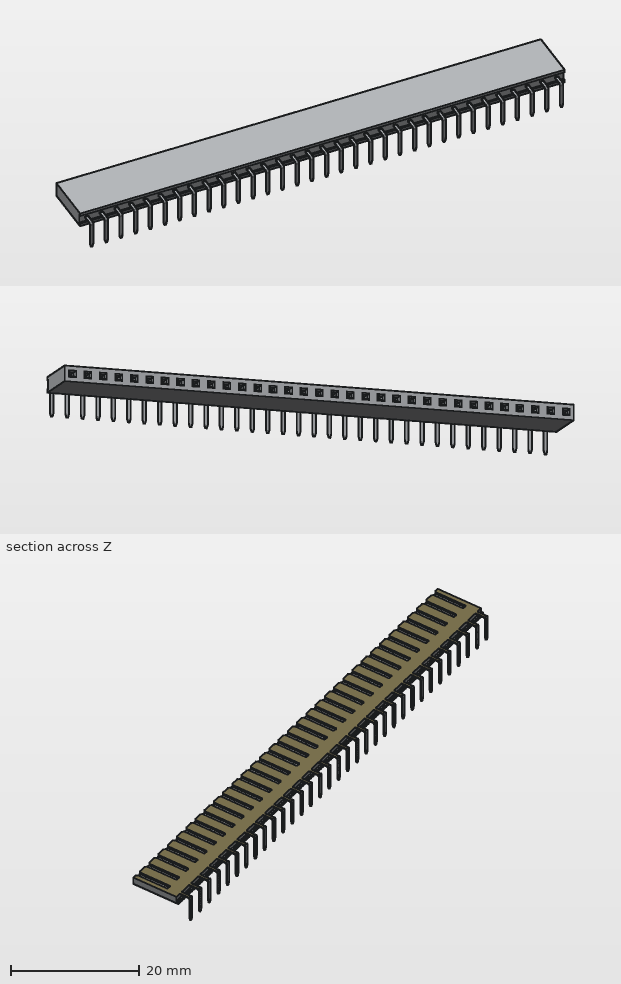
import cadquery as cq


pin_count = 33
bar_length = 83.8
pitch = bar_length / pin_count
bar_depth = 8.55
bar_height = 2.5
middle_z = -bar_height / 2

channel_depth = 0.3
channel_height = 1.5

mouth_width = 1.2
mouth_height = 1.1
lead_in_depth = 0.25
bore_width = mouth_width - 2 * lead_in_depth
bore_height = mouth_height - 2 * lead_in_depth
bore_depth = 5.9

total_depth = 10.15
total_height = 5.9
pin_width = 0.6
pin_thickness = 0.2
bend_outer_radius = 0.38
bend_inner_radius = bend_outer_radius - pin_thickness
tip_width = 0.25
tip_length = 0.6
pin_embedment = 0.8


def make_bar():
    """Rectangular bar with the channel running along its rear face."""
    bar = cq.Workplane("XY").box(bar_depth, bar_length, bar_height)
    bar = bar.translate((bar_depth / 2, 0, middle_z))
    channel = cq.Workplane("XY").box(channel_depth, bar_length, channel_height)
    channel = channel.translate((bar_depth - channel_depth / 2, 0, middle_z))
    return bar.cut(channel)


def make_socket():
    """Cutting shape of one socket, centred on Y = 0."""
    face = cq.Workplane("YZ", origin=(0, 0, middle_z))
    lead_in = (
        face.rect(mouth_width, mouth_height)
        .workplane(offset=lead_in_depth)
        .rect(bore_width, bore_height)
        .loft(ruled=True)
    )
    bore = face.rect(bore_width, bore_height).extrude(bore_depth)
    return lead_in.union(bore)


def make_pin():
    """One flat pin, bent down through a right angle and pointed, centred on Y = 0."""
    root_x = bar_depth - channel_depth - pin_embedment
    top_z = middle_z + pin_thickness / 2
    strip = (
        cq.Workplane("XZ")
        .moveTo(root_x, top_z)
        .lineTo(total_depth - bend_outer_radius, top_z)
        .radiusArc((total_depth, top_z - bend_outer_radius), bend_outer_radius)
        .lineTo(total_depth, -total_height)
        .lineTo(total_depth - pin_thickness, -total_height)
        .lineTo(total_depth - pin_thickness, top_z - bend_outer_radius)
        .radiusArc((total_depth - bend_outer_radius, top_z - pin_thickness), -bend_inner_radius)
        .lineTo(root_x, top_z - pin_thickness)
        .close()
        .extrude(pin_width / 2, both=True)
    )
    shoulder_z = tip_length - total_height
    pointed_outline = (
        cq.Workplane("YZ")
        .polyline([
            (-pin_width / 2, 0),
            (-pin_width / 2, shoulder_z),
            (-tip_width / 2, -total_height),
            (tip_width / 2, -total_height),
            (pin_width / 2, shoulder_z),
            (pin_width / 2, 0),
        ])
        .close()
        .extrude(total_depth)
    )
    return strip.intersect(pointed_outline)


def repeat_along_bar(shape):
    """Copies of a shape at every pin position."""
    first_y = (pitch - bar_length) / 2
    copies = cq.Workplane("XY")
    for index in range(pin_count):
        copies = copies.add(shape.translate((0, first_y + index * pitch, 0)))
    return copies.combine()


result = make_bar().cut(repeat_along_bar(make_socket())).union(repeat_along_bar(make_pin()))